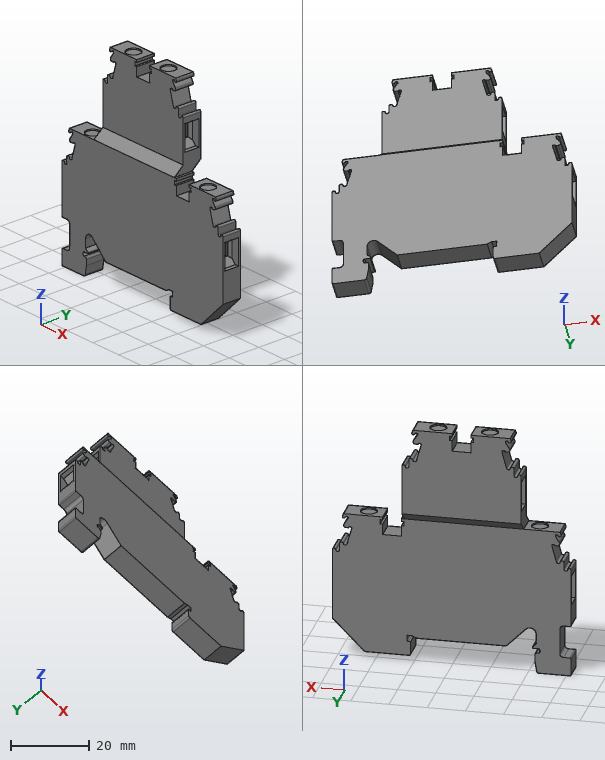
import cadquery as cq
import math

length = 62.5
height = 65.5
thickness = 5.95
tier_shift = 3.0
upper_length = length / 2
upper_left = -18.85
lower_top = 39.5
riser_top = 42.1

lower_left = -length / 2
lower_right = length / 2
upper_right = upper_left + upper_length
lower_y = -(thickness + tier_shift) / 2
upper_y = lower_y + tier_shift

base_z = 6.75
left_foot_corner = 0.3
rail_slot_x = -28.3
rail_slot_bottom = 5.0
rail_slot_top = 13.6
rail_slot_radius = 1.0
left_foot_heel_x = -22.85
left_foot_heel = 0.65
left_foot_taper = 0.45
left_foot_taper_top = 3.3
left_foot_shoulder = 5.05
left_foot_shoulder_radius = 0.45
latch_x = -22.1
latch_notch_x = -23.1
latch_notch_bottom = 5.6
latch_notch_radius = 0.4
barb_tip_x = -21.0
barb_height = 0.4
barb_radius = 0.25
barb_top = 8.05
hook_radius = 1.6
hook_top = 12.3
ramp_foot_x = -14.3
undercut_start_x = 9.2
undercut_ramp = 1.2
undercut_x = 11.65
undercut_top = 7.35
undercut_bottom = 5.7
undercut_radius = 0.3
right_foot_x = 10.75
right_foot_z = 1.85
right_foot_corner = 0.5
right_chamfer_x = 22.7

tooth_radius = 0.45
tooth_drop = 9.75
groove_drop = 10.6
middle_tooth_drop = 7.85
middle_tooth_rise = 0.45
middle_tooth_width = 1.05
neck_bottom_x = 3.8
neck_bottom_drop = 8.4
neck_groove_sag = 0.25
neck_top_x = 5.05
neck_top_drop = 3.9
neck_top_radius = 0.3
bump_drop = 3.8
bump_step = 0.25
bump_inner_x = 4.2
bump_outer_x = 3.55
bump_tip_x = 3.1
bump_shoulder_drop = 2.8
bump_radius = 0.6
lip_x = 2.7
lip_top_x = 2.9
lip_tip_drop = 0.6
lip_width = 0.5
lip_drop = 1.2
lip_root_x = 4.05
lip_root_drop = 1.3
lip_groove_drop = 0.85
lip_hollow_x = 3.55
lip_bulge = 0.3
relief_clearance = 1.3

notch_width = 4.9
notch_depth = 4.85
notch_groove_depth = 0.65
notch_groove_drop = 0.8
notch_groove_height = 1.2
notch_inset = upper_length / 2

screw_diameter = 4.3
screw_depth = 0.4
screw_inset = 8.85
screw_offset = -0.25

entry_width = 4.65
entry_height = 8.0
entry_drop = 16.0
entry_straight = 1.25
funnel_depth = 2.0
funnel_side_delay = 1.25
throat_margin = 0.2
throat_depth = 0.65


def extrude_profile(profile, y_start):
    """Extrude an XZ profile through one tier thickness, from y_start towards +Y."""
    return profile.close().extrude(-thickness).translate((0, y_start, 0))


def box(x_min, x_max, y_min, y_max, z_min, z_max):
    return cq.Workplane("XY").box(
        x_max - x_min, y_max - y_min, z_max - z_min, centered=False
    ).translate((x_min, y_min, z_min))


def lower_tier():
    """Lower plate with the rail slot, latch and feet along its underside."""
    corner = left_foot_corner
    slot = rail_slot_radius
    slant = math.sqrt(0.5)
    foot_heel_end = left_foot_heel_x + left_foot_heel
    foot_inner_x = foot_heel_end + left_foot_taper
    latch_notch_middle = (latch_notch_bottom + base_z) / 2
    hook_x = latch_x + hook_radius
    hook_z = hook_top - hook_radius
    profile = (
        cq.Workplane("XZ")
        .moveTo(lower_left, lower_top)
        .lineTo(lower_left, rail_slot_top + corner)
        .radiusArc((lower_left + corner, rail_slot_top), -corner)
        .lineTo(rail_slot_x - slot, rail_slot_top)
        .radiusArc((rail_slot_x, rail_slot_top - slot), slot)
        .lineTo(rail_slot_x, rail_slot_bottom + slot)
        .radiusArc((rail_slot_x - slot, rail_slot_bottom), slot)
        .lineTo(lower_left + corner, rail_slot_bottom)
        .radiusArc((lower_left, rail_slot_bottom - corner), -corner)
        .lineTo(lower_left, corner)
        .radiusArc((lower_left + corner, 0), -corner)
        .lineTo(left_foot_heel_x, 0)
        .radiusArc((foot_heel_end, left_foot_heel), -left_foot_heel)
        .lineTo(foot_inner_x, left_foot_taper_top)
        .lineTo(foot_inner_x, left_foot_shoulder)
        .radiusArc((foot_heel_end, left_foot_shoulder + left_foot_shoulder_radius), -left_foot_shoulder_radius)
        .lineTo(latch_notch_x + latch_notch_radius, latch_notch_bottom)
        .threePointArc((latch_notch_x, latch_notch_middle), (latch_notch_x + latch_notch_radius, base_z))
        .lineTo(barb_tip_x - barb_radius, base_z)
        .radiusArc((barb_tip_x - barb_radius / 2, base_z + barb_height), -barb_radius)
        .lineTo(latch_x, barb_top)
        .lineTo(latch_x, hook_z)
        .threePointArc(
            (hook_x, hook_top),
            (hook_x + hook_radius * slant, hook_z + hook_radius * slant),
        )
        .lineTo(ramp_foot_x, base_z)
        .lineTo(undercut_start_x, base_z)
        .lineTo(undercut_start_x + undercut_ramp, undercut_top)
        .lineTo(undercut_x, undercut_top)
        .lineTo(undercut_x, undercut_bottom + undercut_radius)
        .radiusArc((undercut_x - undercut_radius, undercut_bottom), undercut_radius)
        .lineTo(right_foot_x, undercut_bottom)
        .lineTo(right_foot_x, right_foot_z + right_foot_corner)
        .radiusArc((right_foot_x + right_foot_corner, right_foot_z), -right_foot_corner)
        .lineTo(right_chamfer_x, right_foot_z)
        .lineTo(lower_right, right_foot_z + lower_right - right_chamfer_x)
        .lineTo(lower_right, lower_top)
    )
    return extrude_profile(profile, lower_y)


def riser():
    """Slanted web that carries the upper tier across to its stepped position."""
    return (
        cq.Workplane("YZ")
        .moveTo(lower_y, lower_top)
        .lineTo(lower_y + thickness, lower_top)
        .lineTo(upper_y + thickness, riser_top)
        .lineTo(upper_y, riser_top)
        .close()
        .extrude(upper_length)
        .translate((upper_left, 0, 0))
    )


def head_relief():
    """Material outside the clip teeth of a left end; the origin is the head's top corner."""
    groove_x = 2 * tooth_radius
    step_x = groove_x + 2 * tooth_radius
    middle_tooth_base = -middle_tooth_drop - middle_tooth_rise
    neck_groove_x = step_x + middle_tooth_width
    profile = (
        cq.Workplane("XZ")
        .moveTo(-relief_clearance, relief_clearance)
        .lineTo(-relief_clearance, -tooth_drop - tooth_radius)
        .lineTo(0, -tooth_drop - tooth_radius)
        .threePointArc((tooth_radius, -tooth_drop), (groove_x, -tooth_drop - tooth_radius))
        .threePointArc((groove_x + tooth_radius, -groove_drop), (step_x, -groove_drop + tooth_radius))
        .lineTo(step_x, middle_tooth_base)
        .threePointArc(
            (step_x + middle_tooth_width / 2, -middle_tooth_drop),
            (neck_groove_x, middle_tooth_base),
        )
        .threePointArc(
            ((neck_groove_x + neck_bottom_x) / 2, -neck_bottom_drop - neck_groove_sag),
            (neck_bottom_x, -neck_bottom_drop),
        )
        .lineTo(neck_top_x, -neck_top_drop)
        .radiusArc((neck_top_x - neck_top_radius, bump_step - bump_drop), -neck_top_radius)
        .lineTo(bump_inner_x + bump_step, bump_step - bump_drop)
        .lineTo(bump_inner_x, -bump_drop)
        .lineTo(bump_outer_x, -bump_drop)
        .radiusArc((bump_tip_x, -bump_shoulder_drop), bump_radius)
        .lineTo(lip_root_x, -lip_root_drop)
        .sagittaArc((lip_hollow_x, -lip_groove_drop), -lip_bulge)
        .lineTo(lip_x + lip_width, -lip_drop)
        .sagittaArc((lip_x, -lip_tip_drop), lip_bulge)
        .lineTo(lip_top_x, 0)
        .lineTo(lip_top_x, relief_clearance)
    )
    return extrude_profile(profile, 0)


def tool_notch():
    """Square notch with a small groove in each side wall; the origin is its top centre."""
    half = notch_width / 2
    wide = half + notch_groove_depth
    groove_bottom = -notch_groove_drop - notch_groove_height
    slot = box(-half, half, 0, thickness, -notch_depth, relief_clearance)
    return slot.union(box(-wide, wide, 0, thickness, groove_bottom, -notch_groove_drop))


def wire_entry():
    """Funnel-shaped wire entry into a left end; the origin is the head's top corner."""
    y_min = (thickness - entry_width) / 2
    y_max = y_min + entry_width
    z_min = -entry_drop - entry_height / 2
    z_max = z_min + entry_height
    funnel_end = entry_straight + funnel_depth
    side_start = entry_straight + funnel_side_delay
    throat_y_max = y_max - (funnel_end - side_start)
    throat_z_min = z_min + funnel_depth
    throat_z_max = z_max - funnel_depth

    sloped_floor_and_roof = (
        cq.Workplane("XZ")
        .moveTo(0, z_min)
        .lineTo(entry_straight, z_min)
        .lineTo(funnel_end, throat_z_min)
        .lineTo(funnel_end, throat_z_max)
        .lineTo(entry_straight, z_max)
        .lineTo(0, z_max)
    )
    sloped_side = (
        cq.Workplane("XY")
        .workplane(offset=z_min)
        .moveTo(0, y_min)
        .lineTo(funnel_end, y_min)
        .lineTo(funnel_end, throat_y_max)
        .lineTo(side_start, y_max)
        .lineTo(0, y_max)
        .close()
        .extrude(entry_height)
    )
    funnel = extrude_profile(sloped_floor_and_roof, 0).intersect(sloped_side)
    throat = box(
        funnel_end, funnel_end + throat_depth,
        y_min + throat_margin, throat_y_max - throat_margin,
        throat_z_min, throat_z_max,
    )
    return funnel.union(throat)


def screw_recess():
    """Shallow round recess over a screw; the origin is on the head's top face."""
    return (
        cq.Workplane("XY")
        .center(screw_inset, thickness / 2 + screw_offset)
        .circle(screw_diameter / 2)
        .extrude(-screw_depth)
    )


left_end_cuts = [head_relief(), wire_entry(), screw_recess()]


def cut_terminals(tier, left, right, y_start, top, notch_x):
    """Cut both terminal heads of a tier and the tool notch at notch_x."""
    for cut in left_end_cuts:
        tier = tier.cut(cut.translate((left, y_start, top)))
        tier = tier.cut(cut.mirror("YZ").translate((right, y_start, top)))
    return tier.cut(tool_notch().translate((notch_x, y_start, top)))


lower = cut_terminals(
    lower_tier(), lower_left, lower_right, lower_y, lower_top, lower_right - notch_inset
)
upper_block = box(upper_left, upper_right, upper_y, upper_y + thickness, riser_top, height)
upper = cut_terminals(
    upper_block, upper_left, upper_right, upper_y, height, upper_left + notch_inset
)

result = lower.union(riser()).union(upper)